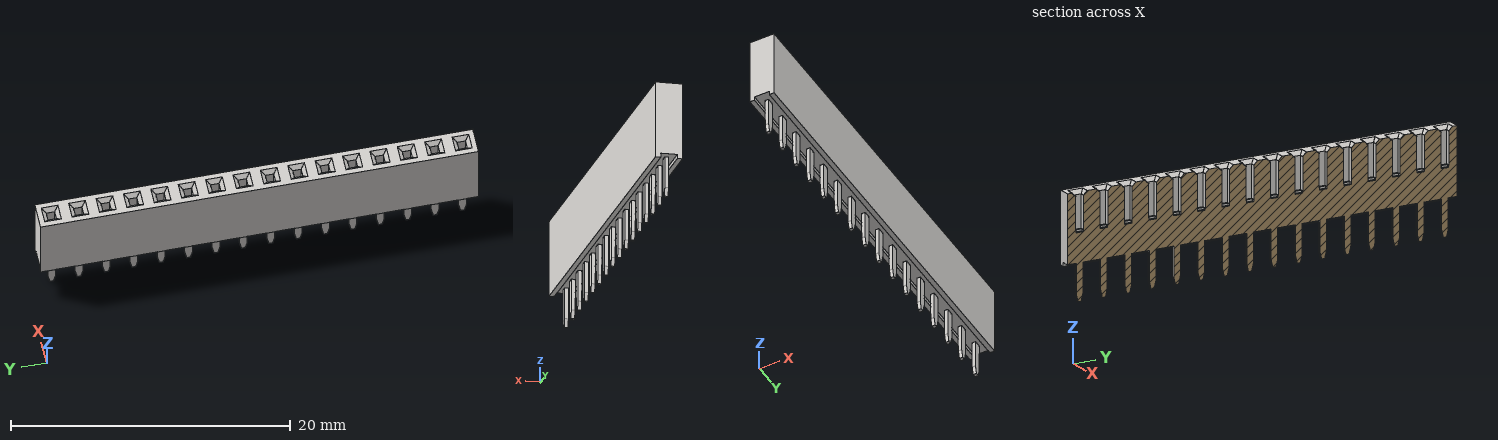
import cadquery as cq

contact_count = 16
body_length = 32.0
body_height = 5.65
total_height = 8.3
pitch = body_length / contact_count
body_width = pitch

channel_width = 1.2
channel_depth = 0.3

lead_in_mouth = 1.2
lead_in_throat = lead_in_mouth / 2
lead_in_depth = (lead_in_mouth - lead_in_throat) / 2
well_depth = 2.88

pin_thickness = 0.3
pin_width = 0.58
pin_tip_width = pin_width / 2
pin_tip_length = 0.6
slot_depth = 0.15

pin_tip_z = body_height - total_height
well_floor_z = body_height - well_depth
contact_places = [
    (0, (index - (contact_count - 1) / 2) * pitch)
    for index in range(contact_count)
]


def make_housing():
    block = cq.Workplane("XY").box(body_width, body_length, body_height, centered=(True, True, False))
    channel = cq.Workplane("XY").box(channel_width, body_length, channel_depth, centered=(True, True, False))
    return block.cut(channel)


def make_socket():
    """Cavity of one socket, centred on the Z axis."""
    lead_in = (
        cq.Workplane("XY", origin=(0, 0, body_height))
        .rect(lead_in_mouth, lead_in_mouth)
        .workplane(offset=-lead_in_depth)
        .rect(lead_in_throat, lead_in_throat)
        .loft(ruled=True)
    )
    well = (
        cq.Workplane("XY", origin=(0, 0, well_floor_z))
        .rect(lead_in_throat, lead_in_throat)
        .extrude(well_depth - lead_in_depth)
    )
    slot = (
        cq.Workplane("XY", origin=(0, 0, well_floor_z))
        .rect(pin_thickness, pin_width)
        .extrude(-slot_depth)
    )
    return lead_in.union(well).union(slot)


def make_pin():
    """One blade, centred on the Z axis, rooted inside the housing above the channel."""
    root_z = 2 * channel_depth
    shoulder_z = pin_tip_z + pin_tip_length
    outline = [
        (-pin_width / 2, root_z),
        (-pin_width / 2, shoulder_z),
        (-pin_tip_width / 2, pin_tip_z),
        (pin_tip_width / 2, pin_tip_z),
        (pin_width / 2, shoulder_z),
        (pin_width / 2, root_z),
    ]
    return cq.Workplane("YZ").polyline(outline).close().extrude(pin_thickness / 2, both=True)


def at_each_contact(feature):
    shape = feature.val()
    return (
        cq.Workplane("XY")
        .pushPoints(contact_places)
        .eachpoint(lambda place: shape.moved(place), combine=False)
    )


result = make_housing()
result = result.cut(at_each_contact(make_socket()))
result = result.union(at_each_contact(make_pin()))